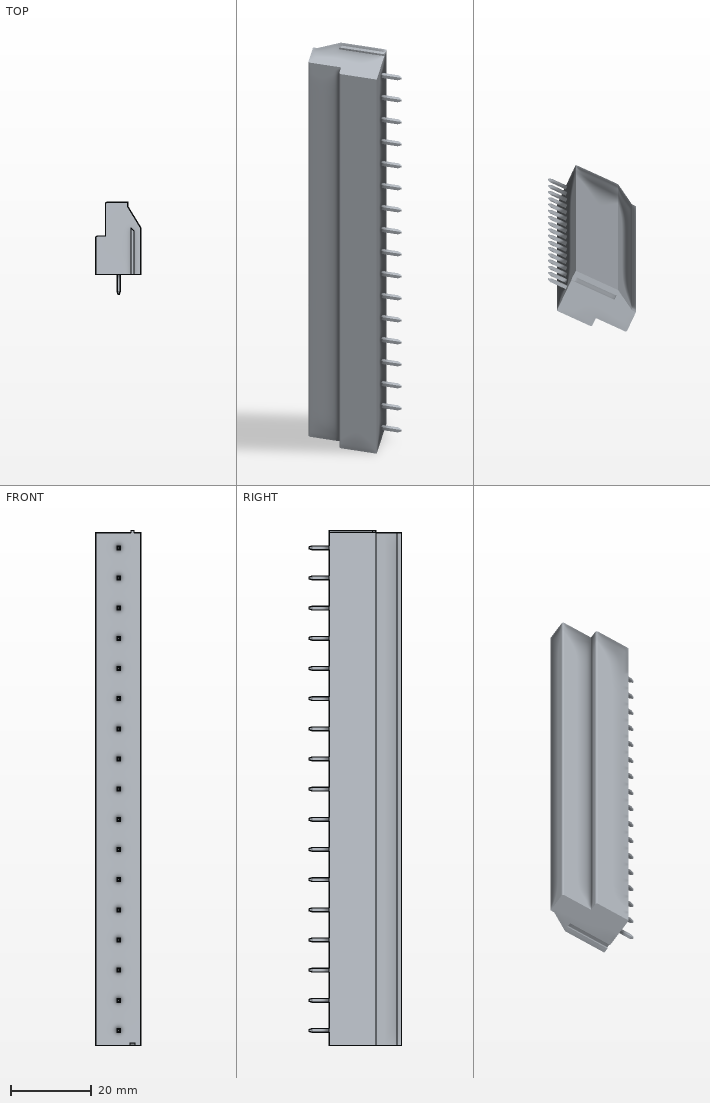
import cadquery as cq

POLE_COUNT = 17
PITCH = 7.5
BODY_HEIGHT = POLE_COUNT * PITCH

BODY_WIDTH = 11.2
BODY_DEPTH = 18.0
STEP_WIDTH = 2.4
STEP_DEPTH = 9.6
CROWN_WIDTH = 5.6
CROWN_SIDE = 1.1
SHOULDER_DEPTH = 11.6
CROWN_RADIUS = 0.5
CROWN_RIGHT = STEP_WIDTH + CROWN_WIDTH
STEP_RADIUS = 0.5

RIB_WIDTH = 0.8
RIB_CENTER_X = 9.15
RIB_LENGTH = 11.6
RIB_HEIGHT = 0.6
GROOVE_CLEARANCE = 0.2

PIN_LENGTH = 5.0
PIN_X = 5.7
PIN_WIDTH = 0.8
PIN_HEIGHT = 1.0
PIN_TIP_INSET = 0.25
PIN_TIP_LENGTH = 0.8
PIN_EMBED = 1.0


def make_housing():
    """Stepped, sloped cross-section extruded along the row, with two rounded long edges."""
    outline = [
        (0, 0),
        (BODY_WIDTH, 0),
        (BODY_WIDTH, SHOULDER_DEPTH),
        (CROWN_RIGHT, BODY_DEPTH - CROWN_SIDE),
        (CROWN_RIGHT, BODY_DEPTH),
        (STEP_WIDTH, BODY_DEPTH),
        (STEP_WIDTH, STEP_DEPTH),
        (0, STEP_DEPTH),
    ]
    block = cq.Workplane("XY").polyline(outline).close().extrude(BODY_HEIGHT)
    middle = BODY_HEIGHT / 2
    crown_edge = cq.selectors.NearestToPointSelector((STEP_WIDTH, BODY_DEPTH, middle))
    step_edge = cq.selectors.NearestToPointSelector((0, STEP_DEPTH, middle))
    return block.edges(crown_edge).fillet(CROWN_RADIUS).edges(step_edge).fillet(STEP_RADIUS)


def make_rib():
    """Bar on the top end running back from the pin face, its far end cut at 45 degrees."""
    left = RIB_CENTER_X - RIB_WIDTH / 2
    right = left + RIB_WIDTH
    outline = [
        (left, 0),
        (right, 0),
        (right, RIB_LENGTH - RIB_WIDTH),
        (left, RIB_LENGTH),
    ]
    return cq.Workplane("XY", origin=(0, 0, BODY_HEIGHT)).polyline(outline).close().extrude(RIB_HEIGHT)


def make_groove():
    """Square-ended channel in the bottom end that takes the rib of a neighbouring part."""
    width = RIB_WIDTH + 2 * GROOVE_CLEARANCE
    length = RIB_LENGTH + GROOVE_CLEARANCE
    return (
        cq.Workplane("XY")
        .box(width, length, RIB_HEIGHT, centered=(True, False, False))
        .translate((RIB_CENTER_X, 0, 0))
    )


def make_pin(center_z):
    """Rectangular pin rooted in the housing, with a tapered tip."""
    shank_end = PIN_TIP_LENGTH - PIN_LENGTH
    shank = (
        cq.Workplane("XY")
        .box(PIN_WIDTH, PIN_EMBED - shank_end, PIN_HEIGHT, centered=(True, False, True))
        .translate((PIN_X, shank_end, center_z))
    )
    tip = (
        cq.Workplane("XZ", origin=(PIN_X, shank_end, center_z))
        .rect(PIN_WIDTH, PIN_HEIGHT)
        .workplane(offset=PIN_TIP_LENGTH)
        .rect(PIN_WIDTH - 2 * PIN_TIP_INSET, PIN_HEIGHT - 2 * PIN_TIP_INSET)
        .loft(ruled=True)
    )
    return shank.union(tip)


result = make_housing()
result = result.union(make_rib())
result = result.cut(make_groove())
for pole in range(POLE_COUNT):
    result = result.union(make_pin(PITCH / 2 + pole * PITCH))